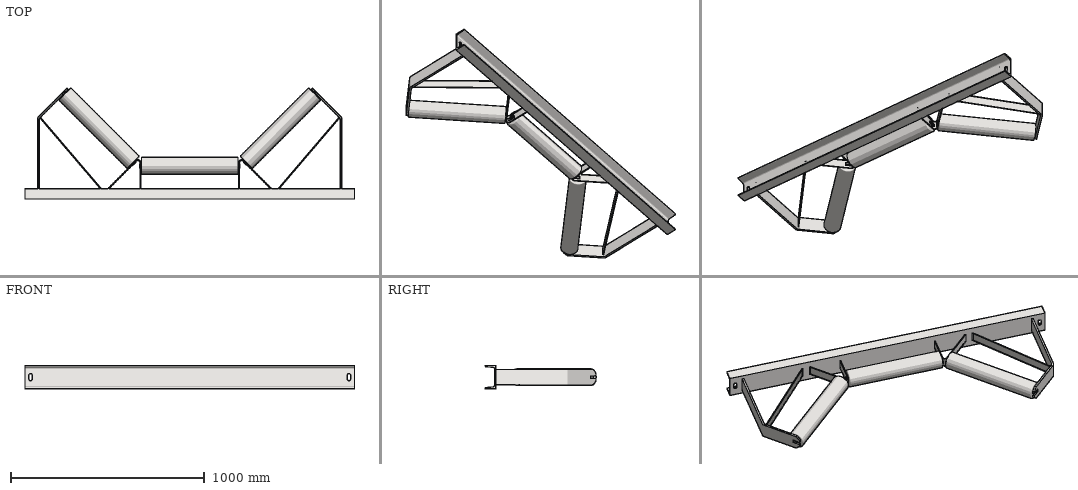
import cadquery as cq
import math


CHANNEL_LENGTH = 1700.0
CHANNEL_HEIGHT = 120.0
FLANGE_WIDTH = 55.0
WEB_THICKNESS = 7.0
FLANGE_THICKNESS = 9.0
FLANGE_SLOPE = 0.08
ROOT_RADIUS = 9.0
TOE_RADIUS = 4.5
MOUNT_SLOT_WIDTH = 16.0
MOUNT_SLOT_LENGTH = 36.0
MOUNT_SLOT_X = CHANNEL_LENGTH / 2 - 29.0

TROUGH_ANGLE = 45.0
ROLLER_DIAMETER = 89.0
ROLLER_LENGTH = 500.0
END_RADIUS = 4.5
SHAFT_DIAMETER = 20.0
SHAFT_FLAT_WIDTH = 14.0
SHAFT_LENGTH = 520.0
CENTRE_ROLLER_Y = 117.0
SIDE_ROLLER_X = 468.0
SIDE_ROLLER_Y = 311.43

OUTER_WIDTH = 80.0
INNER_WIDTH = 50.0
END_CLEARANCE = 2.5
OUTER_THICKNESS = 10.0
OUTER_BEND_RADIUS = 17.0
OUTER_POST_X = 785.0
OUTER_TIP_RISE = 29.0
OUTER_TIP_CHAMFER = 20.0
INNER_THICKNESS = 5.0
INNER_BEND_RADIUS = 15.0

BRACE_THICKNESS = 5.0
BRACE_WIDTH = 50.0
BRACE_FOOT_X = 459.0
BRACE_ANGLE = 49.5
BRACE_LENGTH = 485.0

COS = math.cos(math.radians(TROUGH_ANGLE))
SIN = math.sin(math.radians(TROUGH_ANGLE))
AXIS = cq.Vector(COS, -SIN, 0)
UP = cq.Vector(SIN, COS, 0)
SIDE_CENTRE = cq.Vector(-SIDE_ROLLER_X, SIDE_ROLLER_Y, 0)
PLATE_OFFSET = ROLLER_LENGTH / 2 + END_CLEARANCE


def make_channel():
    half = CHANNEL_HEIGHT / 2
    half_taper = FLANGE_SLOPE * FLANGE_WIDTH / 2
    toe = half - FLANGE_THICKNESS + half_taper
    root = half - FLANGE_THICKNESS - half_taper + FLANGE_SLOPE * WEB_THICKNESS
    outline = [
        (0, -half),
        (-FLANGE_WIDTH, -half),
        (-FLANGE_WIDTH, -toe),
        (-WEB_THICKNESS, -root),
        (-WEB_THICKNESS, root),
        (-FLANGE_WIDTH, toe),
        (-FLANGE_WIDTH, half),
        (0, half),
    ]
    left_end = cq.Workplane("YZ").workplane(offset=-CHANNEL_LENGTH / 2)
    channel = left_end.polyline(outline).close().extrude(CHANNEL_LENGTH)
    for side in (-1, 1):
        root_edge = cq.NearestToPointSelector((0, -WEB_THICKNESS, side * root))
        channel = channel.edges(root_edge).fillet(ROOT_RADIUS)
        toe_edge = cq.NearestToPointSelector((0, -FLANGE_WIDTH, side * toe))
        channel = channel.edges(toe_edge).fillet(TOE_RADIUS)
    slots = (
        cq.Workplane("XZ")
        .pushPoints([(-MOUNT_SLOT_X, 0), (MOUNT_SLOT_X, 0)])
        .slot2D(MOUNT_SLOT_LENGTH, MOUNT_SLOT_WIDTH, 90)
        .extrude(WEB_THICKNESS)
    )
    return channel.cut(slots)


def make_roller(centre, axis):
    """Roller with a shaft whose ends have two flats facing +Z and -Z."""

    def along_axis(length):
        return cq.Workplane(cq.Plane(centre - axis * (length / 2), cq.Vector(0, 0, 1), axis))

    drum = along_axis(ROLLER_LENGTH).circle(ROLLER_DIAMETER / 2).extrude(ROLLER_LENGTH)
    shaft = along_axis(SHAFT_LENGTH).circle(SHAFT_DIAMETER / 2).extrude(SHAFT_LENGTH)
    flats = along_axis(SHAFT_LENGTH).rect(SHAFT_FLAT_WIDTH, SHAFT_DIAMETER).extrude(SHAFT_LENGTH)
    drum = drum.edges().fillet(END_RADIUS)
    return drum.union(shaft.intersect(flats))


def make_bent_plate(start, corner, end, thickness, width, bend_radius):
    """Flat bar whose convex face runs start-corner-end and is rounded at the corner."""
    u = (start - corner).normalized()
    v = (end - corner).normalized()
    bend_angle = u.getAngle(v)
    inner_corner = corner + (u + v) * (thickness / math.sin(bend_angle))
    start_inward = (v - u * u.dot(v)).normalized() * thickness
    end_inward = (u - v * u.dot(v)).normalized() * thickness
    outline = [start, corner, end, end + end_inward, inner_corner, start + start_inward]
    plate = (
        cq.Workplane("XY")
        .workplane(offset=-width / 2)
        .polyline([(point.x, point.y) for point in outline])
        .close()
        .extrude(width)
    )
    for point, radius in ((inner_corner, bend_radius - thickness), (corner, bend_radius)):
        plate = plate.edges(cq.NearestToPointSelector(point.toTuple())).fillet(radius)
    return plate


def trim_at_channel(body):
    above = cq.Workplane("XY").box(
        CHANNEL_LENGTH, CHANNEL_LENGTH, CHANNEL_HEIGHT, centered=(True, False, True)
    )
    return body.intersect(above)


def make_shaft_slot(axis_point, outward, upward, rise, thickness):
    """Cutter for a slot that starts under the shaft and runs up through a plate."""
    drop = SHAFT_DIAMETER / 2
    plane = cq.Plane(axis_point - upward * drop, upward, outward)
    return (
        cq.Workplane(plane)
        .rect(drop + rise, SHAFT_FLAT_WIDTH)
        .extrude(thickness)
        .translate(upward * ((drop + rise) / 2))
    )


def make_outer_bracket():
    axis_point = SIDE_CENTRE - AXIS * (PLATE_OFFSET + OUTER_THICKNESS)
    tip = axis_point + UP * OUTER_TIP_RISE
    corner = axis_point - UP * ((axis_point.x + OUTER_POST_X) / UP.x)
    foot = cq.Vector(-OUTER_POST_X, 0, 0)
    bracket = make_bent_plate(foot, corner, tip, OUTER_THICKNESS, OUTER_WIDTH, OUTER_BEND_RADIUS)
    tip_middle = tip + AXIS * (OUTER_THICKNESS / 2)
    for side in (-1, 1):
        tip_edge = cq.NearestToPointSelector((tip_middle.x, tip_middle.y, side * OUTER_WIDTH / 2))
        bracket = bracket.edges(tip_edge).chamfer(OUTER_TIP_CHAMFER)
    return bracket.cut(make_shaft_slot(axis_point, AXIS, UP, OUTER_TIP_RISE, OUTER_THICKNESS))


def make_inner_bracket():
    leg_axis_point = SIDE_CENTRE + AXIS * PLATE_OFFSET
    post_axis_point = cq.Vector(-PLATE_OFFSET, CENTRE_ROLLER_Y, 0)
    corner = leg_axis_point + UP * ((post_axis_point.x - leg_axis_point.x) / UP.x)
    post_foot = cq.Vector(post_axis_point.x, 0, 0)
    leg_end = leg_axis_point - UP * (leg_axis_point.y / UP.y + INNER_THICKNESS)
    plate = make_bent_plate(post_foot, corner, leg_end, INNER_THICKNESS, INNER_WIDTH, INNER_BEND_RADIUS)
    bracket = trim_at_channel(plate)
    for point, outward, upward in (
        (leg_axis_point, AXIS, UP),
        (post_axis_point, cq.Vector(-1, 0, 0), cq.Vector(0, 1, 0)),
    ):
        rise = (corner - point).dot(upward)
        bracket = bracket.cut(make_shaft_slot(point, outward, upward, rise, INNER_THICKNESS))
    return bracket


def make_brace(bracket):
    bar = (
        cq.Workplane("XY")
        .box(2 * BRACE_LENGTH, BRACE_THICKNESS, BRACE_WIDTH)
        .rotate((0, 0, 0), (0, 0, 1), -BRACE_ANGLE)
        .translate((-BRACE_FOOT_X, 0, 0))
    )
    return trim_at_channel(bar).cut(bracket)


channel = make_channel()
centre_roller = make_roller(cq.Vector(0, CENTRE_ROLLER_Y, 0), cq.Vector(1, 0, 0))
outer_bracket = make_outer_bracket()
inner_bracket = make_inner_bracket()
brace = make_brace(outer_bracket)
side_roller = make_roller(SIDE_CENTRE, AXIS)

bodies = [channel.val(), centre_roller.val()]
for left_body in (outer_bracket, inner_bracket, brace, side_roller):
    bodies += [left_body.val(), left_body.mirror("YZ").val()]
result = cq.Compound.makeCompound(bodies)